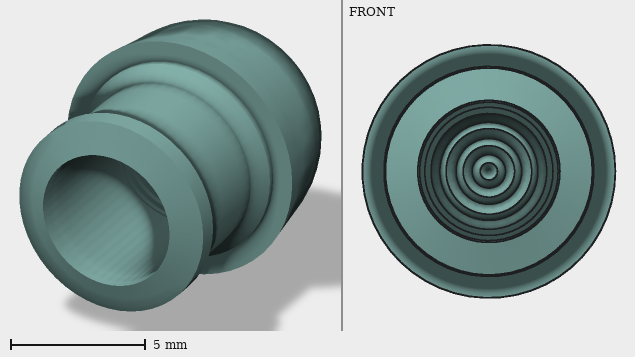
import cadquery as cq
import math

tip_y = 12.29
skirt_y = 5.95
collar_y = 5.7
neck_y = 5.05
flange_y = 1.2
end_chamfer_length = 0.4

skirt_radius = 4.7
collar_radius = 3.9
neck_radius = 3.42
flange_radius = 3.84
dome_radius = 4.37

bore_radius = 2.64
bore_depth = skirt_y
step_radii = (2.57, 2.38)
step_depth = 0.2

groove_radii = [
    (2.15, 1.82, 1.59),
    (1.59, 1.22, 0.955),
    (0.955, 0.62, 0.32),
    (0.32, 0.0, 0.0),
]
groove_wall_angle = 60


def revolve_about_y(profile):
    """Solid of revolution about the Y axis from an open half profile."""
    return profile.close().revolve(360, (0, 0, 0), (0, 1, 0))


def cap_and_stem():
    """Domed cap with a flared skirt on a necked, flanged stem."""
    centre_y = tip_y - dome_radius
    drop = centre_y - skirt_y
    centre_to_rim = math.hypot(skirt_radius, drop)
    tangent_angle = math.acos(dome_radius / centre_to_rim) - math.atan2(drop, skirt_radius)
    arc_middle_angle = (tangent_angle + math.pi / 2) / 2

    def on_dome(angle):
        return (dome_radius * math.cos(angle), centre_y + dome_radius * math.sin(angle))

    profile = (
        cq.Workplane("XY")
        .moveTo(0, 0)
        .lineTo(bore_radius, 0)
        .lineTo(flange_radius, end_chamfer_length)
        .lineTo(flange_radius, flange_y)
        .lineTo(neck_radius, flange_y)
        .lineTo(neck_radius, neck_y)
        .lineTo(collar_radius, collar_y)
        .lineTo(collar_radius, skirt_y)
        .lineTo(skirt_radius, skirt_y)
        .lineTo(*on_dome(tangent_angle))
        .threePointArc(on_dome(arc_middle_angle), (0, tip_y))
    )
    return revolve_about_y(profile)


def bore():
    """Stepped bore whose floor carries the concentric ring grooves."""
    profile = (
        cq.Workplane("XY")
        .moveTo(0, 0)
        .lineTo(bore_radius, 0)
        .lineTo(bore_radius, bore_depth)
    )
    floor_y = bore_depth
    for step_radius in step_radii:
        profile = profile.lineTo(step_radius, floor_y)
        floor_y += step_depth
        profile = profile.lineTo(step_radius, floor_y)
    profile = profile.lineTo(groove_radii[0][0], floor_y)

    slope = math.tan(math.radians(groove_wall_angle))
    crest_y = floor_y
    for outer, root, inner in groove_radii:
        root_y = crest_y + (outer - root) * slope
        profile = profile.lineTo(root, root_y)
        if inner > 0:
            crest_y = root_y - (root - inner) * slope
            profile = profile.lineTo(inner, crest_y)
    return revolve_about_y(profile)


result = cap_and_stem().cut(bore())